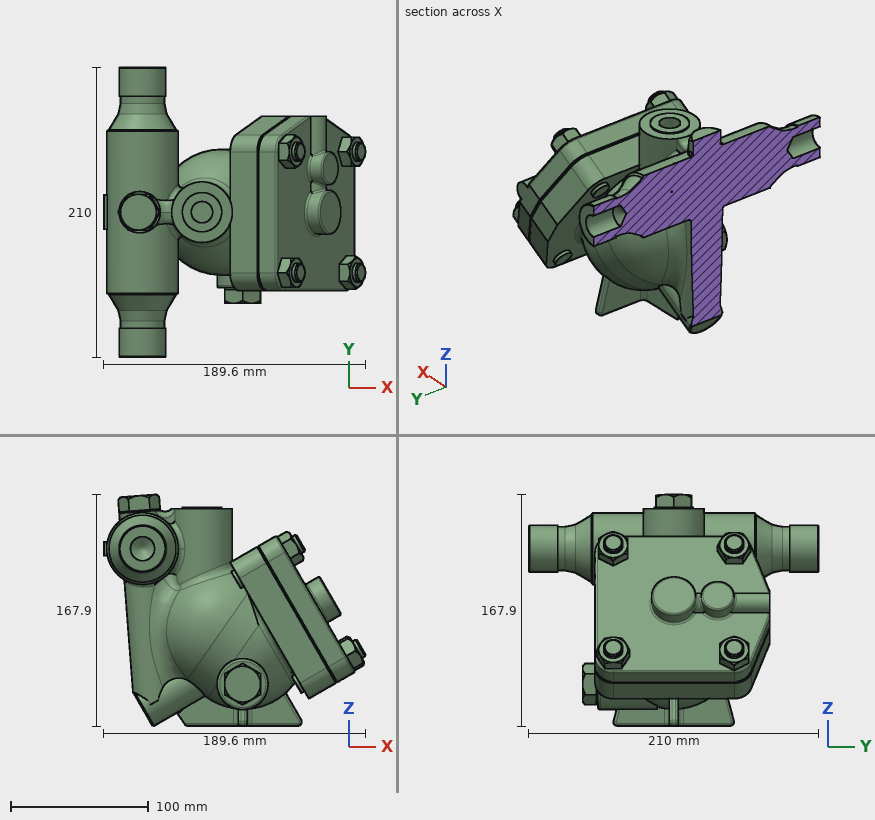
import cadquery as cq
import math

PIPE_D = 52
PIPE_HALF = 58.6
SHOULDER_D = 48.6
SHOULDER_HALF = 59.9
TAPER_END_D = 35.2
TAPER_HALF = 71.2
WELD_NECK_D = 32
WELD_NECK_START = 78.8
SPIGOT_D = 34
SPIGOT_START = 84
OVERALL_HALF = 105
SPIGOT_CHAMFER = 0.6
BORE_D = 17.48
BORE_DEPTH = 25
DRILL_POINT_ANGLE = 118

NECK_LEAN = 4.4
NECK_D = 30
NECK_TOP = 26.8
NECK_LENGTH = 140
NECK_WEB_R = 14
PIPE_NECK_FILLET = 2
HEX_AF = 26
HEX_TOP = 38.5
HEX_BOTTOM = 27.8

PORT_X = 43.1
PORT_D = 44
PORT_TOP = 29
PORT_FACE_D = 28.5
PORT_FACE_HEIGHT = 0.9
PORT_HOLE_D = 15.5
PORT_HOLE_DEPTH = 20
PORT_FILLET = 7
PORT_PIPE_FILLET = 3

CHAMBER_R = 45.6
CHAMBER_UPPER = cq.Vector(57, 0, -59.5)
CHAMBER_LOWER = cq.Vector(73.2, 0, -70.8)

TILT = 30
FLANGE_OFFSET = -97.4

FLANGE_BACK = 50
GASKET_START = 72.6
GASKET_END = 73.8
COVER_FACE = 89
GASKET_INSET = 0.8
COVER_FILLET = 1.5
BOLT_PITCH = 87.7
FLANGE_CORNER_R = 13.2
EAR_REACH = 69.6
EAR_HALF = 11
FLANGE_FILLET = 3.5

BOLT_D = 14
BOLT_END = 101.6
BOLT_BACK = 47.3
BOLT_CHAMFER = 1
NUT_AF = 21
NUT_TOP = 98

BOSS_TOP = 101
MAIN_BOSS_D = 32
SIDE_BOSS_D = 24
SIDE_BOSS_Y = 31.8
BOSS_EDGE_FILLET = 1.2
BOSS_ROOT_FILLET = 1.5
RIDGE_R = 7.5

STUB_D = 29.4
STUB_OFFSET = -100.8
STUB_START = -58
STUB_END = 10
STUB_CHAMFER = 1

SIDE_PLUG_X = 72.5
SIDE_PLUG_Z = -98.2
SIDE_BOSS_OD = 37
SIDE_BOSS_FACE = 54.9
SIDE_BOSS_ROOT = 12
SIDE_BOSS_EDGE = 1.8
SIDE_HEX_START = 56.3
SIDE_HEX_END = 66.1

FOOT_Z = -128.53
RIB_TOP = -92
RIB_THICK = 6.5
RIB_EDGE_FILLET = 2
RIB_CORNER_FILLET = 3.5
RIB_TOE_R = 3
LONG_RIB_FRONT = 117.7
LONG_RIB_BACK = 31.5
LONG_RIB_HEEL_X = 25.4
LONG_RIB_HEEL_Z = -119.7
LONG_RIB_BACK_TOP = 55
LONG_RIB_LEAN = 30
CROSS_RIB_HALF = 44.7
CROSS_RIB_LEAN = 15

PLATE_LENGTH = 25
PLATE_HEIGHT = 10
PLATE_X = -28
PLATE_EMBED = 10

CORE_CLEARANCE = 0.01
CORE_END = -30
NECK_CORE_LENGTH = 45

TOUCH = 0.001

SIN = math.sin(math.radians(TILT))
COS = math.cos(math.radians(TILT))
FLANGE_AXIS = cq.Vector(COS, 0, SIN)
COVER_SIDE = cq.selectors.DirectionMinMaxSelector(FLANGE_AXIS)
STUB_SIDE = cq.selectors.DirectionMinMaxSelector(FLANGE_AXIS, False)


def tilted_plane(distance):
    """Plane square to the flange axis; x runs along Y and y runs up the flange."""
    return cq.Plane((distance * COS, 0, distance * SIN), (0, 1, 0), (COS, 0, SIN))


def tilted_rod(diameter, start, end, y, offset):
    plane = cq.Workplane(tilted_plane(start))
    return plane.center(y, offset).circle(diameter / 2).extrude(end - start)


def lies_on(shape, vertex):
    return min(face.distance(vertex) for face in shape.faces().vals()) < TOUCH


def blend(first, second, radius):
    """Join two solids and round the edges where their surfaces meet."""
    joined = first.union(second)
    seams = []
    for edge in joined.edges().vals():
        middle = cq.Vertex.makeVertex(*edge.positionAt(0.5).toTuple())
        if lies_on(first, middle) and lies_on(second, middle):
            seams.append(edge)
    return joined.newObject(seams).fillet(radius)


def lean(shape):
    """Turn an upright shape onto the leaning neck axis."""
    return shape.rotate((0, 0, 0), (0, 1, 0), -NECK_LEAN)


def hexagon_bolt_head(plane, flats, height, corner_angle):
    """Hexagonal head with its outer corners turned off; corner_angle aims one corner."""
    across_corners = flats / math.cos(math.radians(30))
    prism = cq.Workplane(plane).transformed(rotate=(0, 0, corner_angle))
    prism = prism.polygon(6, across_corners).extrude(height)
    turned = cq.Workplane(plane).circle(across_corners / 2).extrude(height)
    end_face = cq.selectors.DirectionMinMaxSelector(plane.zDir)
    turned = turned.faces(end_face).chamfer((across_corners - flats) / 2)
    return prism.intersect(turned)


def make_pipe():
    profile = [
        (0, -OVERALL_HALF),
        (-SPIGOT_D / 2, -OVERALL_HALF),
        (-SPIGOT_D / 2, -SPIGOT_START),
        (-WELD_NECK_D / 2, -SPIGOT_START),
        (-WELD_NECK_D / 2, -WELD_NECK_START),
        (-TAPER_END_D / 2, -TAPER_HALF),
        (-SHOULDER_D / 2, -SHOULDER_HALF),
        (-PIPE_D / 2, -PIPE_HALF),
        (-PIPE_D / 2, PIPE_HALF),
        (-SHOULDER_D / 2, SHOULDER_HALF),
        (-TAPER_END_D / 2, TAPER_HALF),
        (-WELD_NECK_D / 2, WELD_NECK_START),
        (-WELD_NECK_D / 2, SPIGOT_START),
        (-SPIGOT_D / 2, SPIGOT_START),
        (-SPIGOT_D / 2, OVERALL_HALF),
        (0, OVERALL_HALF),
    ]
    pipe = cq.Workplane("XY").polyline(profile).close().revolve(360, (0, 0), (0, 1))
    return pipe.faces("<Y or >Y").edges().chamfer(SPIGOT_CHAMFER)


def make_bore():
    """Blind drilled hole entering the -Y end of the pipe."""
    point = BORE_D / 2 / math.tan(math.radians(DRILL_POINT_ANGLE / 2))
    floor = OVERALL_HALF - BORE_DEPTH
    profile = [(0, -OVERALL_HALF), (BORE_D / 2, -OVERALL_HALF), (BORE_D / 2, -floor), (0, point - floor)]
    return cq.Workplane("XY").polyline(profile).close().revolve(360, (0, 0), (0, 1))


def make_neck():
    """Leaning rod, trimmed so that its lower end stays inside the stub."""
    rod = cq.Workplane("XY").workplane(offset=NECK_TOP).circle(NECK_D / 2).extrude(-NECK_LENGTH)
    region = cq.Workplane(tilted_plane(STUB_START)).center(0, STUB_OFFSET + NECK_LENGTH)
    region = region.rect(2 * NECK_LENGTH, 2 * NECK_LENGTH).extrude(NECK_LENGTH)
    return lean(rod).intersect(region)


def make_neck_core():
    """Short, slightly slimmer neck that carries the rounding against the pipe."""
    core = cq.Workplane("XY")
    return lean(core.circle(NECK_D / 2 - CORE_CLEARANCE).extrude(-NECK_CORE_LENGTH))


def make_top_plug():
    collar = cq.Workplane("XY").circle(HEX_AF / 2).extrude(HEX_BOTTOM)
    head_plane = cq.Plane((0, 0, HEX_BOTTOM))
    head = hexagon_bolt_head(head_plane, HEX_AF, HEX_TOP - HEX_BOTTOM, 0)
    return lean(collar.union(head))


def make_chamber():
    axis = CHAMBER_LOWER - CHAMBER_UPPER
    chamber = cq.Workplane(cq.Solid.makeCylinder(CHAMBER_R, axis.Length, CHAMBER_UPPER, axis))
    for centre in (CHAMBER_UPPER, CHAMBER_LOWER):
        chamber = chamber.union(cq.Workplane("XY").sphere(CHAMBER_R).translate(centre))
    return chamber


def make_flare():
    """Concave ring that rounds the chamber into the back of the flange."""
    gap = FLANGE_BACK - CHAMBER_LOWER.dot(FLANGE_AXIS)
    arc_centre_height = gap - FLANGE_FILLET
    arc_centre_radius = math.sqrt((CHAMBER_R + FLANGE_FILLET) ** 2 - arc_centre_height ** 2)
    to_touch = CHAMBER_R / (CHAMBER_R + FLANGE_FILLET)
    touch = (arc_centre_radius * to_touch, arc_centre_height * to_touch)
    touch_angle = math.pi + math.atan2(arc_centre_height, arc_centre_radius)
    middle_angle = (touch_angle + math.pi / 2) / 2
    middle = (
        arc_centre_radius + FLANGE_FILLET * math.cos(middle_angle),
        arc_centre_height + FLANGE_FILLET * math.sin(middle_angle),
    )
    profile = cq.Workplane(cq.Plane(CHAMBER_LOWER.toTuple(), (0, 1, 0), (SIN, 0, -COS)))
    profile = profile.moveTo(0, 0).lineTo(*touch).threePointArc(middle, (arc_centre_radius, gap))
    return profile.lineTo(0, gap).close().revolve(360, (0, 0), (0, 1))


def make_port():
    top = cq.Workplane("XY", origin=(PORT_X, 0, PORT_TOP))
    return top.circle(PORT_D / 2).extrude(CHAMBER_UPPER.z - PORT_TOP)


def make_port_core():
    """Short, slightly slimmer port that carries the rounding against the pipe."""
    core = cq.Workplane("XY", origin=(PORT_X, 0, PORT_TOP - CORE_CLEARANCE))
    return core.circle(PORT_D / 2 - CORE_CLEARANCE).extrude(CORE_END - PORT_TOP)


def make_port_face():
    top = cq.Workplane("XY", origin=(PORT_X, 0, PORT_TOP))
    return top.circle(PORT_FACE_D / 2).extrude(PORT_FACE_HEIGHT)


def make_port_hole():
    rim = cq.Workplane("XY", origin=(PORT_X, 0, PORT_TOP + PORT_FACE_HEIGHT))
    return rim.circle(PORT_HOLE_D / 2).extrude(-PORT_HOLE_DEPTH)


def ear_tangent_point():
    """Point where the straight side of the ear touches the rounded flange corner."""
    centre = BOLT_PITCH / 2
    across = EAR_REACH - centre
    up = EAR_HALF - centre
    angle = math.atan2(up, across) + math.acos(FLANGE_CORNER_R / math.hypot(across, up))
    return centre + FLANGE_CORNER_R * math.cos(angle), centre + FLANGE_CORNER_R * math.sin(angle)


def flange_slab(start, end, inset):
    """Square rounded plate with a pointed ear on the +Y side."""
    side = BOLT_PITCH + 2 * FLANGE_CORNER_R
    tangent_y, tangent_up = ear_tangent_point()
    plane = cq.Workplane(tilted_plane(start)).center(0, FLANGE_OFFSET)
    square = plane.rect(side, side).extrude(end - start)
    square = square.edges(cq.selectors.ParallelDirSelector(FLANGE_AXIS)).fillet(FLANGE_CORNER_R)
    ear = plane.polyline([
        (0, tangent_up),
        (tangent_y, tangent_up),
        (EAR_REACH, EAR_HALF),
        (EAR_REACH, -EAR_HALF),
        (tangent_y, -tangent_up),
        (0, -tangent_up),
    ]).close().extrude(end - start)
    slab = square.union(ear)
    if inset:
        outline = slab.faces(COVER_SIDE).wires()
        slab = outline.toPending().offset2D(-inset).extrude(start - end, combine=False)
    return slab


def make_ridge():
    """Rounded ridge from the main boss to the tip of the ear."""
    bottom = tilted_plane(COVER_FACE).toWorldCoords((0, FLANGE_OFFSET, 0))
    ridge = cq.Solid.makeCylinder(RIDGE_R, EAR_REACH, bottom, cq.Vector(0, 1, 0))
    return cq.Workplane(ridge)


def cover_boss(diameter, y):
    boss = tilted_rod(diameter, GASKET_END, BOSS_TOP, y, FLANGE_OFFSET)
    return boss.faces(COVER_SIDE).edges().fillet(BOSS_EDGE_FILLET)


def make_cover():
    cover = flange_slab(GASKET_END, COVER_FACE, 0)
    cover = cover.faces(COVER_SIDE).edges().fillet(COVER_FILLET)
    cover = cover.union(make_ridge())
    cover = blend(cover, cover_boss(MAIN_BOSS_D, 0), BOSS_ROOT_FILLET)
    return blend(cover, cover_boss(SIDE_BOSS_D, SIDE_BOSS_Y), BOSS_ROOT_FILLET)


def make_bolt(y_side, up_side):
    y = y_side * BOLT_PITCH / 2
    offset = FLANGE_OFFSET + up_side * BOLT_PITCH / 2
    stud = tilted_rod(BOLT_D, BOLT_BACK, BOLT_END, y, offset)
    stud = stud.faces(COVER_SIDE).chamfer(BOLT_CHAMFER)
    seat = tilted_plane(COVER_FACE)
    seat.origin = seat.toWorldCoords((y, offset, 0))
    corner_angle = 0 if y_side == up_side else 90
    return stud.union(hexagon_bolt_head(seat, NUT_AF, NUT_TOP - COVER_FACE, corner_angle))


def make_side_boss():
    root = cq.Workplane("XZ", origin=(SIDE_PLUG_X, -SIDE_BOSS_ROOT, SIDE_PLUG_Z))
    boss = root.circle(SIDE_BOSS_OD / 2).extrude(SIDE_BOSS_FACE - SIDE_BOSS_ROOT)
    return boss.faces("<Y").edges().fillet(SIDE_BOSS_EDGE)


def make_side_plug():
    face = cq.Workplane("XZ", origin=(SIDE_PLUG_X, -SIDE_BOSS_ROOT, SIDE_PLUG_Z))
    collar = face.circle(HEX_AF / 2).extrude(SIDE_HEX_START - SIDE_BOSS_ROOT)
    seat = cq.Plane((SIDE_PLUG_X, -SIDE_HEX_START, SIDE_PLUG_Z), (1, 0, 0), (0, -1, 0))
    head = hexagon_bolt_head(seat, HEX_AF, SIDE_HEX_END - SIDE_HEX_START, 90)
    return collar.union(head)


def make_foot():
    rise = RIB_TOP - FOOT_Z
    front_top = LONG_RIB_FRONT - rise * math.tan(math.radians(LONG_RIB_LEAN))
    half_top = CROSS_RIB_HALF - rise * math.tan(math.radians(CROSS_RIB_LEAN))
    long_rib = cq.Workplane("XZ").polyline([
        (LONG_RIB_BACK, FOOT_Z),
        (LONG_RIB_FRONT, FOOT_Z),
        (front_top, RIB_TOP),
        (LONG_RIB_BACK_TOP, RIB_TOP),
        (LONG_RIB_HEEL_X, LONG_RIB_HEEL_Z),
    ]).close().extrude(RIB_THICK / 2, both=True)
    long_rib = long_rib.faces("<Z").edges(">X").fillet(RIB_TOE_R)
    cross_rib = cq.Workplane("YZ", origin=(SIDE_PLUG_X, 0, 0)).polyline([
        (-CROSS_RIB_HALF, FOOT_Z),
        (CROSS_RIB_HALF, FOOT_Z),
        (half_top, RIB_TOP),
        (-half_top, RIB_TOP),
    ]).close().extrude(RIB_THICK / 2, both=True)
    cross_rib = cross_rib.faces("<Z").edges("<Y or >Y").fillet(RIB_TOE_R)
    foot = long_rib.union(cross_rib)
    reach = RIB_THICK
    corner_box = cq.selectors.BoxSelector(
        (SIDE_PLUG_X - reach, -reach, FOOT_Z - reach), (SIDE_PLUG_X + reach, reach, RIB_TOP + reach)
    )
    foot = foot.edges("|Z").edges(corner_box).fillet(RIB_CORNER_FILLET)
    return foot.faces("<Z").edges().fillet(RIB_EDGE_FILLET)


def make_plate():
    face = cq.Workplane("YZ", origin=(PLATE_X, 0, 0))
    return face.rect(PLATE_LENGTH, PLATE_HEIGHT).extrude(PLATE_EMBED)


stub = tilted_rod(STUB_D, STUB_START, STUB_END, 0, STUB_OFFSET)
stub = stub.faces(STUB_SIDE).chamfer(STUB_CHAMFER)
body = blend(make_chamber(), make_neck(), NECK_WEB_R)
body = blend(body, make_port(), PORT_FILLET)
body = body.union(stub)
head = blend(make_pipe(), make_port_core(), PORT_PIPE_FILLET)
head = blend(head, make_neck_core(), PIPE_NECK_FILLET)
body = body.union(head)
body = body.union(make_flare())
body = body.union(flange_slab(FLANGE_BACK, GASKET_START, 0))
body = body.union(flange_slab(GASKET_START, GASKET_END, GASKET_INSET))
body = body.union(make_cover())
for y_side in (-1, 1):
    for up_side in (-1, 1):
        body = body.union(make_bolt(y_side, up_side))
body = body.union(make_side_boss()).union(make_side_plug()).union(make_top_plug())
body = body.union(make_foot()).union(make_plate()).union(make_port_face())
result = body.cut(make_port_hole()).cut(make_bore()).cut(make_bore().mirror("XZ"))